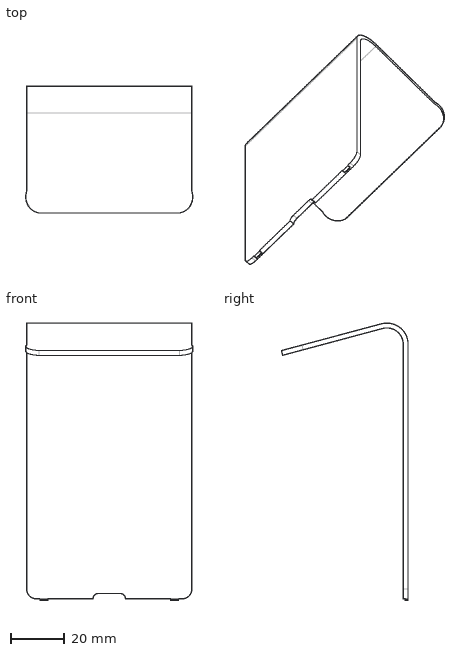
import cadquery as cq
import math

width = 62.0
thickness = 1.9
total_depth = 47.565
total_height = 103.9

bend_outer_radius = 8.0
lip_slope = math.radians(15)

plate_corner_radius = 3.8
notch_width = 12.0
notch_height = 2.0
notch_corner_radius = 1.8

foot_width = 3.0
foot_depth = 1.2
foot_height = 0.5
foot_spacing = 49.0

lip_corner_radius = 6.2
lip_max_width = 62.61
lip_corner_start = 8.0

half_width = width / 2
plate_bottom = foot_height
bend_centre_y = -bend_outer_radius
bend_centre_z = total_height - bend_outer_radius
lip_start_y = bend_centre_y - bend_outer_radius * math.sin(lip_slope)
lip_start_z = bend_centre_z + bend_outer_radius * math.cos(lip_slope)
lip_length = (total_depth + lip_start_y) / math.cos(lip_slope)


def bend_point(radius, angle):
    """Point (y, z) on the bend, with the angle measured from the back face towards the lip."""
    return (
        bend_centre_y + radius * math.cos(angle),
        bend_centre_z + radius * math.sin(angle),
    )


def make_plate_and_bend():
    """Upright plate and the bend above it, as one side profile drawn across the width."""
    inner_radius = bend_outer_radius - thickness
    bend_angle = math.pi / 2 + lip_slope
    profile = (
        cq.Workplane("YZ", origin=(-half_width, 0, 0))
        .moveTo(0, plate_bottom)
        .lineTo(*bend_point(bend_outer_radius, 0))
        .threePointArc(
            bend_point(bend_outer_radius, bend_angle / 2),
            bend_point(bend_outer_radius, bend_angle),
        )
        .lineTo(*bend_point(inner_radius, bend_angle))
        .threePointArc(
            bend_point(inner_radius, bend_angle / 2),
            bend_point(inner_radius, 0),
        )
        .lineTo(-thickness, plate_bottom)
        .close()
    )
    plate = profile.extrude(width)
    return plate.edges("|Y and <Z").fillet(plate_corner_radius)


def make_lip():
    """Sloping lip, outlined in its own upper plane with local y running towards the tip."""
    upper_plane = cq.Plane(
        origin=(0, lip_start_y, lip_start_z),
        xDir=(-1, 0, 0),
        normal=(0, -math.sin(lip_slope), math.cos(lip_slope)),
    )
    bulge_x = lip_max_width / 2
    corner_x = bulge_x - lip_corner_radius
    side_y = lip_length - lip_corner_start
    side_angle = math.acos((half_width - corner_x) / lip_corner_radius)
    corner_y = side_y + lip_corner_radius * math.sin(side_angle)
    tip_angle = math.asin((lip_length - corner_y) / lip_corner_radius)
    tip_x = corner_x + lip_corner_radius * math.cos(tip_angle)
    outline = (
        cq.Workplane(upper_plane)
        .moveTo(-half_width, 0)
        .lineTo(half_width, 0)
        .lineTo(half_width, side_y)
        .threePointArc((bulge_x, corner_y), (tip_x, lip_length))
        .lineTo(-tip_x, lip_length)
        .threePointArc((-bulge_x, corner_y), (-half_width, side_y))
        .close()
    )
    return outline.extrude(-thickness)


def make_notch():
    """Cutter for the notch in the lower edge, rounded at its upper corners."""
    block = cq.Workplane("XY", origin=(0, -thickness / 2, plate_bottom)).box(
        notch_width, thickness, notch_height, centered=(True, True, False)
    )
    return block.edges("|Y and >Z").fillet(notch_corner_radius)


def make_feet():
    """Pair of small feet standing below the lower edge of the plate."""
    return (
        cq.Workplane("XY", origin=(0, -foot_depth / 2, 0))
        .rarray(foot_spacing, 1, 2, 1)
        .rect(foot_width, foot_depth)
        .extrude(foot_height)
    )


result = make_plate_and_bend().union(make_lip()).cut(make_notch()).union(make_feet())